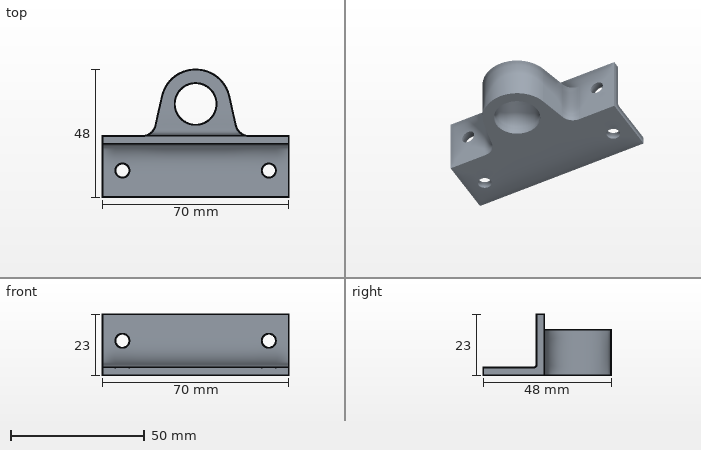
import cadquery as cq
import math

length = 70.0
leg = 23.0
thickness = 3.0
inner_corner_radius = 1.0

screw_diameter = 5.2
screw_spacing = 55.0
screw_from_corner = 13.0

housing_height = 17.2
housing_radius = 13.0
housing_center_y = 12.0
housing_base_half_width = 16.0
flank_fillet_radius = 5.0

mouth_diameter = 15.6
bore_diameter = 17.4
cone_height = 2.5


def make_angle():
    profile = [
        (0, 0),
        (-leg, 0),
        (-leg, thickness),
        (-thickness, thickness),
        (-thickness, leg),
        (0, leg),
    ]
    angle = cq.Workplane("YZ").polyline(profile).close().extrude(length / 2, both=True)
    inner_corner = cq.selectors.NearestToPointSelector((0, -thickness, thickness))
    return angle.edges(inner_corner).fillet(inner_corner_radius)


def make_housing():
    """Round-nosed block whose flanks spread and blend into the upright leg."""
    center_distance = math.hypot(housing_base_half_width, housing_center_y)
    center_angle = math.atan2(housing_center_y, housing_base_half_width)
    lean = math.acos(housing_radius / center_distance) - center_angle

    tangent_x = housing_radius * math.cos(lean)
    tangent_y = housing_center_y + housing_radius * math.sin(lean)
    fillet_reach = flank_fillet_radius * math.tan((math.pi / 2 - lean) / 2)
    fillet_end_x = housing_base_half_width + fillet_reach
    fillet_top_x = housing_base_half_width - fillet_reach * math.sin(lean)
    fillet_top_y = fillet_reach * math.cos(lean)
    nose_y = housing_center_y + housing_radius

    overlap_y = -thickness / 2

    return (
        cq.Workplane("XY")
        .moveTo(-fillet_end_x, 0)
        .radiusArc((-fillet_top_x, fillet_top_y), -flank_fillet_radius)
        .lineTo(-tangent_x, tangent_y)
        .threePointArc((0, nose_y), (tangent_x, tangent_y))
        .lineTo(fillet_top_x, fillet_top_y)
        .radiusArc((fillet_end_x, 0), -flank_fillet_radius)
        .lineTo(fillet_end_x, overlap_y)
        .lineTo(-fillet_end_x, overlap_y)
        .close()
        .extrude(housing_height)
    )


def make_bore():
    mouth_radius = mouth_diameter / 2
    bore_radius = bore_diameter / 2
    cone_base_z = housing_height - cone_height
    half_profile = [
        (0, 0),
        (bore_radius, 0),
        (bore_radius, cone_base_z),
        (mouth_radius, housing_height),
        (0, housing_height),
    ]
    bore = cq.Workplane("XZ").polyline(half_profile).close().revolve(360, (0, 0), (0, 1))
    return bore.translate((0, housing_center_y, 0))


def make_screw_holes():
    """Matching pairs of holes through the upright leg and the floor leg."""
    radius = screw_diameter / 2
    places = [(side * screw_spacing / 2, screw_from_corner) for side in (-1, 1)]
    upright = cq.Workplane("XZ").pushPoints(places).circle(radius).extrude(thickness)
    floor_places = [(x, -distance) for x, distance in places]
    floor = cq.Workplane("XY").pushPoints(floor_places).circle(radius).extrude(thickness)
    return upright.union(floor)


result = make_angle().union(make_housing()).cut(make_bore()).cut(make_screw_holes())